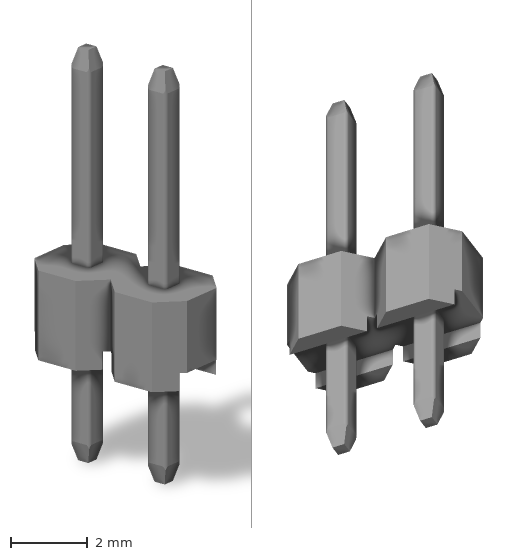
import cadquery as cq

positions = 2
pitch = 2.54

block_height = 2.5
corner_cut = 0.65

foot_width = 0.5
channel_width = pitch - 2 * foot_width
channel_depth = 0.5

pin_width = 0.64
pin_edge_radius = 0.1
pin_above_block = 6.0
pin_below_block = 3.0
pin_length = pin_below_block + block_height + pin_above_block
tip_width = 0.34
tip_height = 0.56


def make_block():
    """Octagonal block with the channel cut along its underside."""
    octagon = (
        cq.Workplane("XY")
        .rect(pitch, pitch)
        .extrude(block_height)
        .edges("|Z")
        .chamfer(corner_cut)
    )
    channel = cq.Workplane("XY").rect(pitch, channel_width).extrude(channel_depth)
    return octagon.cut(channel)


def make_pin():
    """Rounded square bar trimmed to a pyramid taper at both ends."""
    bar = (
        cq.Workplane("XY")
        .workplane(offset=-pin_below_block)
        .rect(pin_width, pin_width)
        .extrude(pin_length)
        .edges("|Z")
        .fillet(pin_edge_radius)
    )
    return bar.intersect(make_pin_envelope())


def make_pin_envelope():
    """Sharp-edged square pin with its tapered ends."""
    shaft_length = pin_length - 2 * tip_height
    shaft = (
        cq.Workplane("XY")
        .workplane(offset=tip_height - pin_below_block)
        .rect(pin_width, pin_width)
        .extrude(shaft_length)
    )
    upper_tip = (
        shaft.faces(">Z")
        .workplane()
        .rect(pin_width, pin_width)
        .workplane(offset=tip_height)
        .rect(tip_width, tip_width)
        .loft(combine=False)
    )
    pin_middle_z = pin_length / 2 - pin_below_block
    lower_tip = upper_tip.mirror("XY", (0, 0, pin_middle_z))
    return shaft.union(upper_tip).union(lower_tip)


header_unit = make_block().union(make_pin()).solids()
header_units = []
for position in range(positions):
    unit_x = (position - (positions - 1) / 2) * pitch
    header_units.append(header_unit.translate((unit_x, 0, 0)).val())

result = cq.Compound.makeCompound(header_units)